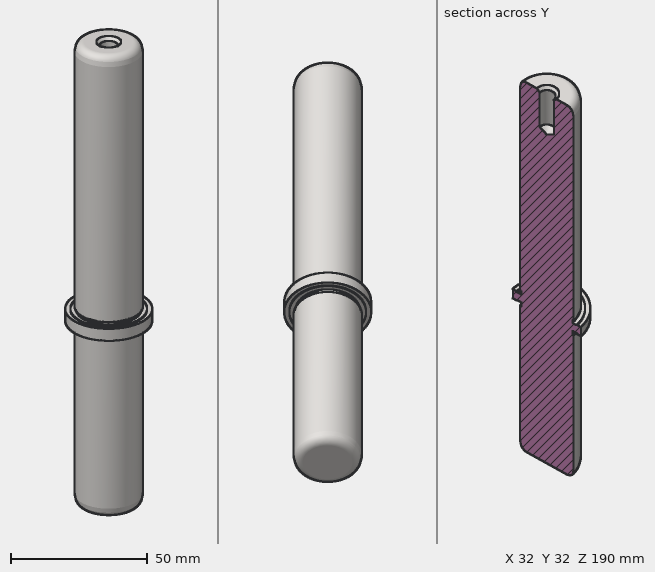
import cadquery as cq
import math

length = 190.0
shaft_radius = 12.5
collar_radius = 16.0
collar_bottom = 75.0
collar_thickness = 5.0
collar_top = collar_bottom + collar_thickness

end_face_radius = 9.1
round_radius = 12.2
round_height = 2.0
taper_height = 4.0

relief_depth = 0.5
lower_relief_height = 1.5
upper_relief_height = 1.0
face_relief_radius = 14.0
face_relief_depth = 0.28

hole_radius = 3.2
hole_depth = 19.0
countersink_radius = 4.5
countersink_depth = 1.3
drill_tip_half_angle = 59.0


def ring(outer_radius, inner_radius, bottom, height):
    return (
        cq.Workplane("XY", origin=(0, 0, bottom))
        .circle(outer_radius)
        .circle(inner_radius)
        .extrude(height)
    )


def make_shaft():
    """Revolve the plain shaft; both ends have the same rounded lead-in."""
    rise = round_radius - end_face_radius
    arc_radius = (rise**2 + round_height**2) / (2 * round_height)
    half_angle = math.asin(rise / arc_radius) / 2
    middle_radius = end_face_radius + arc_radius * math.sin(half_angle)
    middle_height = arc_radius * (1 - math.cos(half_angle))
    profile = (
        cq.Workplane("XZ")
        .lineTo(end_face_radius, 0)
        .threePointArc((middle_radius, middle_height), (round_radius, round_height))
        .lineTo(shaft_radius, taper_height)
        .lineTo(shaft_radius, length - taper_height)
        .lineTo(round_radius, length - round_height)
        .threePointArc((middle_radius, length - middle_height), (end_face_radius, length))
        .lineTo(0, length)
        .close()
    )
    return profile.revolve(360, (0, 0, 0), (0, 1, 0))


def cut_reliefs(body):
    neck_radius = shaft_radius - relief_depth
    lower_bottom = collar_bottom - lower_relief_height
    lower = ring(face_relief_radius, neck_radius, lower_bottom, lower_relief_height + face_relief_depth)
    upper_bottom = collar_top - face_relief_depth
    upper = ring(face_relief_radius, neck_radius, upper_bottom, upper_relief_height + face_relief_depth)
    return body.cut(lower).cut(upper)


def make_centre_hole():
    tip_depth = hole_depth + hole_radius / math.tan(math.radians(drill_tip_half_angle))
    profile = (
        cq.Workplane("XZ")
        .moveTo(0, length)
        .lineTo(countersink_radius, length)
        .lineTo(hole_radius, length - countersink_depth)
        .lineTo(hole_radius, length - hole_depth)
        .lineTo(0, length - tip_depth)
        .close()
    )
    return profile.revolve(360, (0, 0, 0), (0, 1, 0))


collar = cq.Workplane("XY", origin=(0, 0, collar_bottom)).circle(collar_radius).extrude(collar_thickness)
body = cut_reliefs(make_shaft().union(collar))
result = body.cut(make_centre_hole())